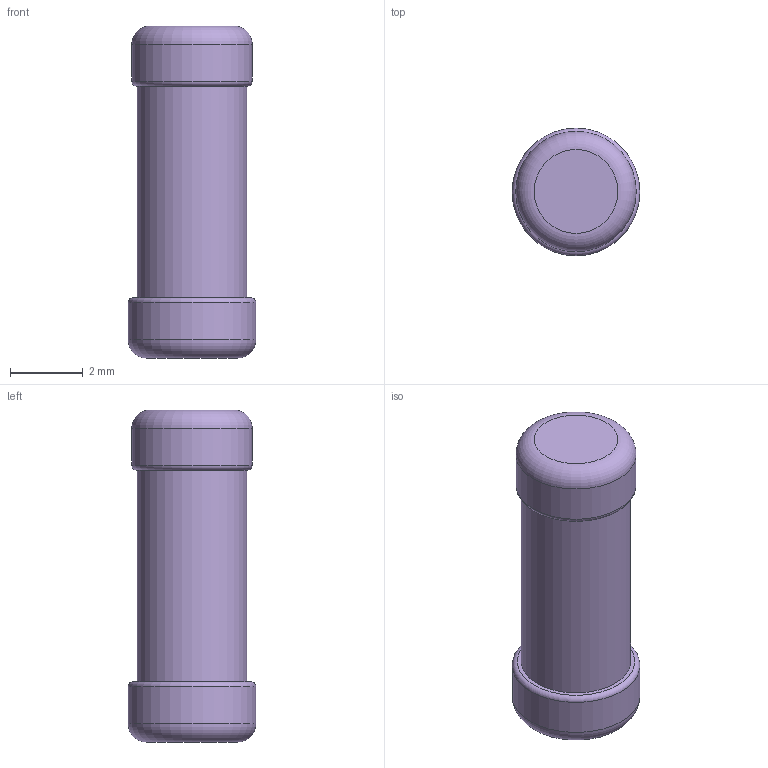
import cadquery as cq

total_length = 9.1
body_diameter = 3.0
top_cap_diameter = 3.3
bottom_cap_diameter = 3.5
cap_length = 1.65
end_round_radius = 0.5
inner_round_radius = 0.14


def cap(diameter, base_z, lower_radius, upper_radius):
    """Cylindrical end cap standing on base_z with both rims rounded."""
    blank = cq.Workplane("XY").workplane(offset=base_z).circle(diameter / 2).extrude(cap_length)
    return blank.faces("<Z").edges().fillet(lower_radius).faces(">Z").edges().fillet(upper_radius)


body_length = total_length - cap_length
body = cq.Workplane("XY").workplane(offset=cap_length / 2).circle(body_diameter / 2).extrude(body_length)

bottom_cap = cap(bottom_cap_diameter, 0, end_round_radius, inner_round_radius)
top_cap = cap(top_cap_diameter, total_length - cap_length, inner_round_radius, end_round_radius)

result = body.union(bottom_cap).union(top_cap)